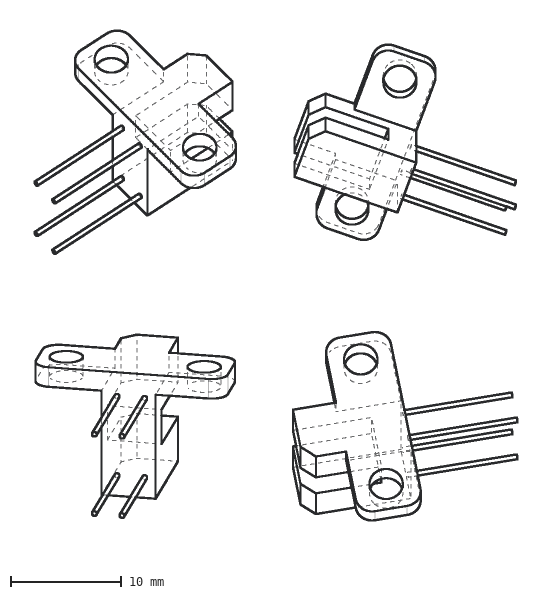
import cadquery as cq


overall_depth = 19.9
height = 11.9

body_width = 5.0
body_depth = 9.9
corner_chamfer = 1.2
slot_width = 3.3
slot_depth = 7.2

flange_width = 17.7
flange_depth = 5.93
flange_thickness = 1.9
flange_radius = 1.5
hole_diameter = 3.0
hole_spacing = 12.7

lead_diameter = 0.45
lead_length = overall_depth - body_depth
lead_pitch_x = 2.55
lead_pitch_z = 7.62
lead_left_x = -1.05
lead_top_z = -2.3


def make_body():
    """Upright block with one chamfered vertical edge and a slot through its back."""
    block = cq.Workplane("XY").box(
        body_width, body_depth, height, centered=(True, False, False)
    ).translate((0, 0, -height))
    block = block.edges("|Z and <X and >Y").chamfer(corner_chamfer)
    slot = cq.Workplane("XY").box(
        body_width, slot_depth, slot_width, centered=(True, False, True)
    ).translate((0, body_depth - slot_depth, -height / 2))
    return block.cut(slot)


def make_flange():
    """Rounded plate flush with the top of the body."""
    plate = cq.Workplane("XY").box(
        flange_width, flange_depth, flange_thickness, centered=(True, False, False)
    ).translate((0, 0, -flange_thickness))
    return plate.edges("|Z").fillet(flange_radius)


def make_mounting_holes():
    """Cutters for the two holes through the flange."""
    return (
        cq.Workplane("XY")
        .pushPoints([(side * hole_spacing / 2, flange_depth / 2) for side in (-1, 1)])
        .circle(hole_diameter / 2)
        .extrude(-flange_thickness)
    )


def make_leads():
    """Four round leads running from the terminal face toward -Y."""
    lead_points = [
        (lead_left_x + column * lead_pitch_x, lead_top_z - row * lead_pitch_z)
        for column in range(2)
        for row in range(2)
    ]
    return (
        cq.Workplane("XZ")
        .pushPoints(lead_points)
        .circle(lead_diameter / 2)
        .extrude(lead_length)
    )


result = make_body().union(make_flange()).cut(make_mounting_holes()).union(make_leads())